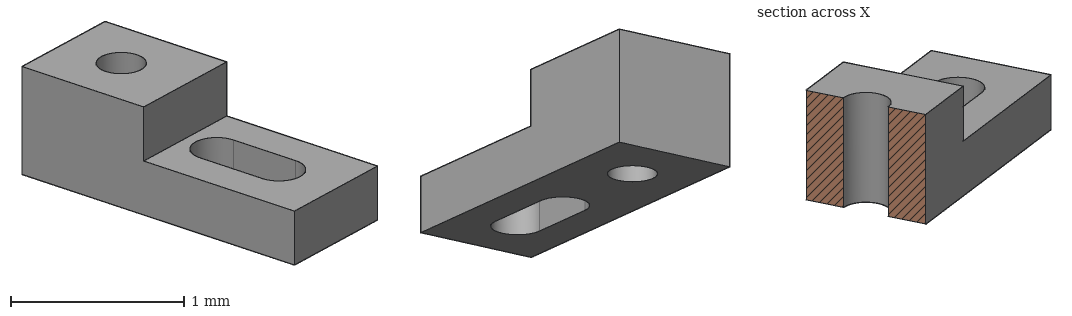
import cadquery as cq

length = 2.0
width = 0.78
height = 0.69

head_length = 0.895
tongue_height = height / 2

hole_diameter = 0.29
hole_x = 0.425

slot_start = 0.97
slot_length = 0.765
slot_width = 0.31
slot_x = slot_start + slot_length / 2

profile = [
    (0, 0),
    (length, 0),
    (length, tongue_height),
    (head_length, tongue_height),
    (head_length, height),
    (0, height),
]
body = cq.Workplane("XZ").polyline(profile).close().extrude(width / 2, both=True)

hole = cq.Workplane("XY").center(hole_x, 0).circle(hole_diameter / 2).extrude(height)
slot = cq.Workplane("XY").center(slot_x, 0).slot2D(slot_length, slot_width).extrude(height)

result = body.cut(hole).cut(slot)